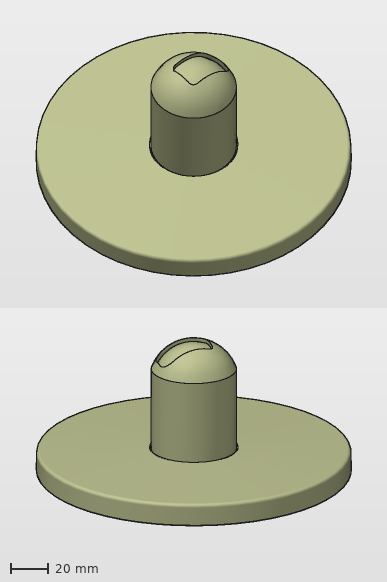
import cadquery as cq
import math

disc_radius = 85.0
wall_taper = 0.2
bottom_chamfer = 0.5
rim_round = 1.9
wall_height = 10.4
crown_height = 13.8

post_radius = 46.0 / 2
post_top = 58.8
dome_radius = 24.5

ring_radius = 23.8
ring_depth = 0.8

pocket_width = 18.0
pocket_front = -8.5
pocket_back = 20.2
front_corner_radius = 3.2
back_corner_radius = 6.0
pocket_depth = 2.0

dome_center = post_top - math.sqrt(dome_radius**2 - post_radius**2)
dome_top = dome_center + dome_radius


def make_disc():
    """Revolve the disc profile, including the clearance ring."""
    rim_height = wall_height + rim_round
    wall_top_radius = disc_radius - wall_taper
    rim_center = wall_top_radius - rim_round
    mid_offset = rim_round * math.sqrt(0.5)
    return (
        cq.Workplane("XZ")
        .lineTo(disc_radius - bottom_chamfer, 0)
        .lineTo(disc_radius, bottom_chamfer)
        .lineTo(wall_top_radius, wall_height)
        .threePointArc(
            (rim_center + mid_offset, wall_height + mid_offset),
            (rim_center, rim_height),
        )
        .lineTo(ring_radius, crown_height)
        .lineTo(ring_radius, crown_height - ring_depth)
        .lineTo(0, crown_height - ring_depth)
        .close()
        .revolve(360, (0, 0), (0, 1))
    )


def make_sphere(radius):
    """Sphere about the centre of the dome."""
    return cq.Workplane("XY").sphere(radius).translate((0, 0, dome_center))


def make_post():
    """Cylinder capped by the dome."""
    cylinder = cq.Workplane("XY").circle(post_radius).extrude(post_top)
    blank = cq.Workplane("XY").circle(post_radius).extrude(dome_top)
    above_cylinder = blank.cut(cylinder)
    return cylinder.union(above_cylinder.intersect(make_sphere(dome_radius)))


def make_pocket_cutter():
    """Upright rounded prism, hollowed by the sphere of the pocket floor."""
    prism = (
        cq.Workplane("XY", origin=(0, 0, dome_center))
        .center(0, (pocket_front + pocket_back) / 2)
        .rect(pocket_width, pocket_back - pocket_front)
        .extrude(dome_radius)
        .edges("|Z and <Y")
        .fillet(front_corner_radius)
        .edges("|Z and >Y")
        .fillet(back_corner_radius)
    )
    return prism.cut(make_sphere(dome_radius - pocket_depth))


result = make_disc().union(make_post()).cut(make_pocket_cutter())